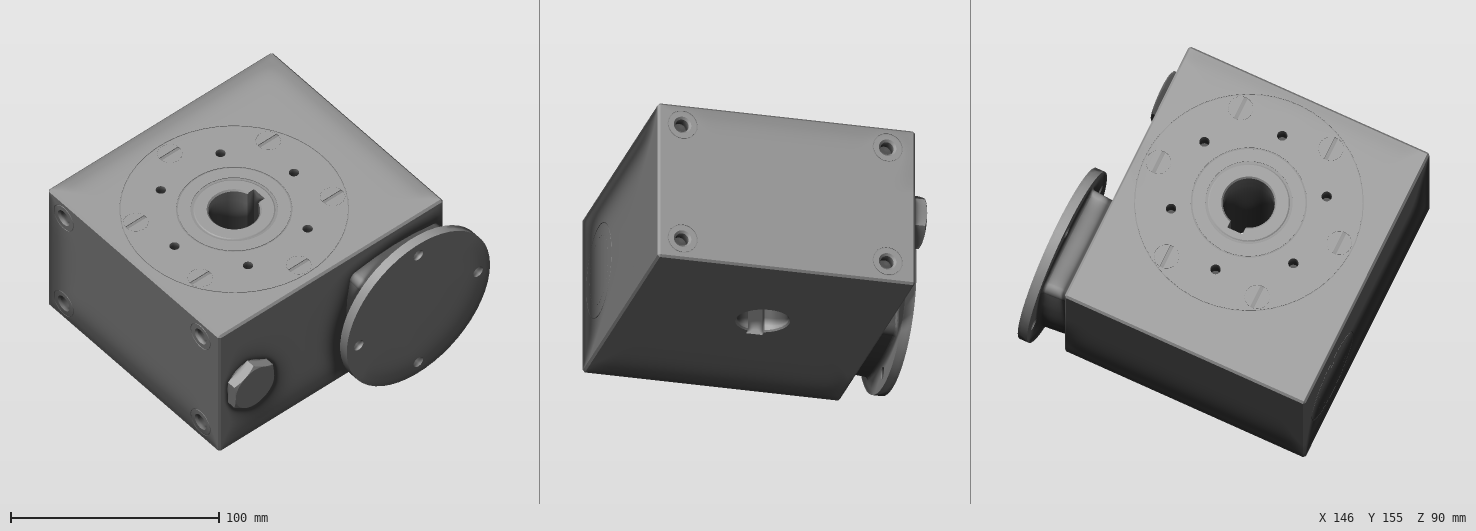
import cadquery as cq
import math


HOUSING_LEFT = -68.0
HOUSING_RIGHT = 60.0
HOUSING_FRONT = -60.0
HOUSING_BACK = 81.0
HOUSING_HEIGHT = 81.0
HOUSING_CHAMFER = 1.1
TOP = HOUSING_HEIGHT / 2

BORE_DIA = 25.0
BORE_CHAMFER = 0.8
KEYWAY_WIDTH = 8.0
KEYWAY_REACH = 15.8
SHAFT_DIA = 39.5
SHAFT_FACE_DIA = 38.3
SEAL_DIA = 42.0
SEAL_GROOVE_DEPTH = 0.3
SEAL_SEAT_DIA = 56.0

JOINT_WIDTH = 0.5
JOINT_DEPTH = 0.3
SEAL_SEAT_JOINT_WIDTH = 0.8
FINE_JOINT_WIDTH = 0.08

COVER_DIA = 110.4
COVER_FASTENERS = 6
COVER_SCREW_RADIUS = 48.0
COVER_SCREW_DIA = 12.1
SCREW_SLOT_WIDTH = 1.9
SCREW_SLOT_DEPTH = 0.5
TAPPED_RADIUS = 37.5
TAPPED_DIA = 5.0
TAPPED_DEPTH = 9.3

FRONT_SCREW_CENTRE_X = -5.0
FRONT_SCREW_PITCH_X = 102.0
FRONT_SCREW_PITCH_Z = 60.0
FRONT_SCREW_DIA = 14.9
SOCKET_DIA = 6.5
SOCKET_MOUTH_DIA = 8.7
SOCKET_DEPTH = 6.2

OVERALL_LENGTH = 155.0
FLANGE_DIA = 90.0
INPUT_Y = HOUSING_FRONT + OVERALL_LENGTH - FLANGE_DIA / 2
FLANGE_THICKNESS = 5.0
FLANGE_GAP = 13.0
FLANGE_HOLES = 4
FLANGE_HOLE_DIA = 6.0
FLANGE_HOLE_RADIUS = 37.5
FLANGE_LEFT = HOUSING_RIGHT + FLANGE_GAP

NECK_HALF = 30.2
NECK_END_HALF = 31.2
NECK_CORNER_NEAR = 23.5
NECK_CORNER_FAR = 27.9
NECK_CORNER_MID = 26.7
NECK_FILLET = 1.5

CAP_DIA = 47.0
CAP_CENTRE_DIA = 34.1

PLUG_Y = -43.4
PLUG_FLATS = 24.2
PLUG_LENGTH = 5.9
PLUG_CONE_ANGLE = 30.0
PLUG_COLLAR_DIA = 23.5
PLUG_COLLAR_LENGTH = 1.1


def disc(plane, diameter, length):
    """Cylinder standing on a plane."""
    return cq.Workplane(plane).circle(diameter / 2).extrude(length)


def ring(plane, outer_dia, width, depth):
    """Ring sunk below a plane, used to cut a circular joint."""
    outer = cq.Workplane(plane).circle(outer_dia / 2)
    return outer.circle(outer_dia / 2 - width).extrude(-depth)


def top_plane(x=0.0, y=0.0):
    return cq.Plane(origin=(x, y, TOP))


def side_plane(x, y):
    """Plane facing +X, with its local x along Y and local y along Z."""
    return cq.Plane(origin=(x, y, 0), xDir=(0, 1, 0), normal=(1, 0, 0))


def around(radius, count, start=0.0):
    """Evenly spaced points on a circle."""
    angles = [math.radians(start + i * 360 / count) for i in range(count)]
    return [(radius * math.cos(a), radius * math.sin(a)) for a in angles]


def make_housing():
    width = HOUSING_RIGHT - HOUSING_LEFT
    length = HOUSING_BACK - HOUSING_FRONT
    block = cq.Workplane("XY").box(width, length, HOUSING_HEIGHT)
    block = block.edges().chamfer(HOUSING_CHAMFER)
    centre_x = (HOUSING_LEFT + HOUSING_RIGHT) / 2
    centre_y = (HOUSING_FRONT + HOUSING_BACK) / 2
    return block.translate((centre_x, centre_y, 0))


def neck_outline(x, scale):
    """Closed outline of the neck at a distance x along the input axis."""
    near, far, mid, half = (
        scale * size for size in (NECK_CORNER_NEAR, NECK_CORNER_FAR, NECK_CORNER_MID, NECK_HALF)
    )
    return (
        cq.Workplane(side_plane(x, INPUT_Y))
        .moveTo(far, -near)
        .threePointArc((half, 0), (far, near))
        .threePointArc((mid, mid), (near, far))
        .threePointArc((0, half), (-near, far))
        .threePointArc((-mid, mid), (-far, near))
        .threePointArc((-half, 0), (-far, -near))
        .threePointArc((-mid, -mid), (-near, -far))
        .threePointArc((0, -half), (near, -far))
        .threePointArc((mid, -mid), (far, -near))
        .close()
        .val()
    )


def make_neck():
    small = neck_outline(HOUSING_RIGHT, 1.0)
    large = neck_outline(FLANGE_LEFT, NECK_END_HALF / NECK_HALF)
    return cq.Workplane(cq.Solid.makeLoft([small, large], True))


def make_motor_flange():
    flange = disc(side_plane(FLANGE_LEFT, INPUT_Y), FLANGE_DIA, FLANGE_THICKNESS)
    body = make_neck().union(flange)
    reach = NECK_END_HALF + NECK_FILLET
    slack = NECK_FILLET / 10
    root = cq.selectors.BoxSelector(
        (FLANGE_LEFT - slack, INPUT_Y - reach, -reach),
        (FLANGE_LEFT + slack, INPUT_Y + reach, reach),
        boundingbox=True,
    )
    body = body.edges(root).fillet(NECK_FILLET)
    holes = (
        cq.Workplane(side_plane(FLANGE_LEFT, INPUT_Y))
        .pushPoints(around(FLANGE_HOLE_RADIUS, FLANGE_HOLES))
        .circle(FLANGE_HOLE_DIA / 2)
        .extrude(FLANGE_THICKNESS)
    )
    return body.cut(holes)


def make_plug():
    collar = disc(side_plane(HOUSING_RIGHT, PLUG_Y), PLUG_COLLAR_DIA, PLUG_COLLAR_LENGTH)
    corner_dia = PLUG_FLATS / math.cos(math.pi / 6)
    head_plane = side_plane(HOUSING_RIGHT + PLUG_COLLAR_LENGTH, PLUG_Y)
    corners = around(corner_dia / 2, 6, start=90)
    head = cq.Workplane(head_plane).polyline(corners).close().extrude(PLUG_LENGTH)
    bevel = (corner_dia - PLUG_FLATS) / 2
    bevel_length = bevel * math.tan(math.radians(PLUG_CONE_ANGLE))
    envelope = disc(head_plane, corner_dia, PLUG_LENGTH).faces(">X").chamfer(bevel_length, bevel)
    return collar.union(head.intersect(envelope))


def bevel_cutter(mouth_dia, hole_dia, depth, mouth, inward):
    """Cone that bevels the mouth of a round hole."""
    start = cq.Vector(*mouth)
    direction = cq.Vector(*inward)
    cone = cq.Solid.makeCone(mouth_dia / 2, hole_dia / 2, depth, pnt=start, dir=direction)
    return cq.Workplane(cone)


def cut_bore(body):
    height = HOUSING_HEIGHT
    body = body.cut(disc(top_plane(), BORE_DIA, -height))
    mouth_dia = BORE_DIA + 2 * BORE_CHAMFER
    for side in (-1, 1):
        body = body.cut(bevel_cutter(mouth_dia, BORE_DIA, BORE_CHAMFER, (0, 0, side * TOP), (0, 0, -side)))
    keyway = cq.Workplane("XY").box(KEYWAY_WIDTH, KEYWAY_REACH, height, centered=(True, False, True))
    return body.cut(keyway)


def cut_seal_groove(body):
    """Groove around the shaft end, with the shaft edge bevelled into it."""
    floor = TOP - SEAL_GROOVE_DEPTH
    profile = [
        (SHAFT_FACE_DIA / 2, TOP),
        (SHAFT_DIA / 2, floor),
        (SEAL_DIA / 2, floor),
        (SEAL_DIA / 2, TOP),
    ]
    return body.cut(cq.Workplane("XZ").polyline(profile).close().revolve(360, (0, 0, 0), (0, 1, 0)))


def cut_cover(body):
    body = body.cut(ring(top_plane(), COVER_DIA, JOINT_WIDTH, JOINT_DEPTH))
    body = body.cut(ring(top_plane(), SEAL_SEAT_DIA, SEAL_SEAT_JOINT_WIDTH, JOINT_DEPTH))
    for x, y in around(COVER_SCREW_RADIUS, COVER_FASTENERS):
        plane = top_plane(x, y)
        slot = cq.Workplane(plane).rect(SCREW_SLOT_WIDTH, COVER_SCREW_DIA).extrude(-SCREW_SLOT_DEPTH)
        body = body.cut(slot.intersect(disc(plane, COVER_SCREW_DIA, -SCREW_SLOT_DEPTH)))
        body = body.cut(ring(plane, COVER_SCREW_DIA, FINE_JOINT_WIDTH, JOINT_DEPTH))
    for x, y in around(TAPPED_RADIUS, COVER_FASTENERS, start=90):
        body = body.cut(disc(top_plane(x, y), TAPPED_DIA, -TAPPED_DEPTH))
    return body


def cut_front_screws(body):
    bevel = (SOCKET_MOUTH_DIA - SOCKET_DIA) / 2
    for side_x in (-1, 1):
        for side_z in (-1, 1):
            x = FRONT_SCREW_CENTRE_X + side_x * FRONT_SCREW_PITCH_X / 2
            z = side_z * FRONT_SCREW_PITCH_Z / 2
            plane = cq.Plane(origin=(x, HOUSING_FRONT, z), xDir=(1, 0, 0), normal=(0, -1, 0))
            body = body.cut(ring(plane, FRONT_SCREW_DIA, JOINT_WIDTH, JOINT_DEPTH))
            body = body.cut(disc(plane, SOCKET_DIA, -SOCKET_DEPTH))
            mouth = (x, HOUSING_FRONT, z)
            body = body.cut(bevel_cutter(SOCKET_MOUTH_DIA, SOCKET_DIA, bevel, mouth, (0, 1, 0)))
    return body


def cut_bearing_cap(body):
    plane = cq.Plane(origin=(HOUSING_LEFT, INPUT_Y, 0), xDir=(0, 1, 0), normal=(-1, 0, 0))
    body = body.cut(ring(plane, CAP_DIA, JOINT_WIDTH, JOINT_DEPTH))
    return body.cut(ring(plane, CAP_CENTRE_DIA, FINE_JOINT_WIDTH, JOINT_DEPTH))


result = make_housing().union(make_motor_flange()).union(make_plug())
result = cut_bore(result)
result = cut_seal_groove(result)
result = cut_cover(result)
result = cut_front_screws(result)
result = cut_bearing_cap(result)